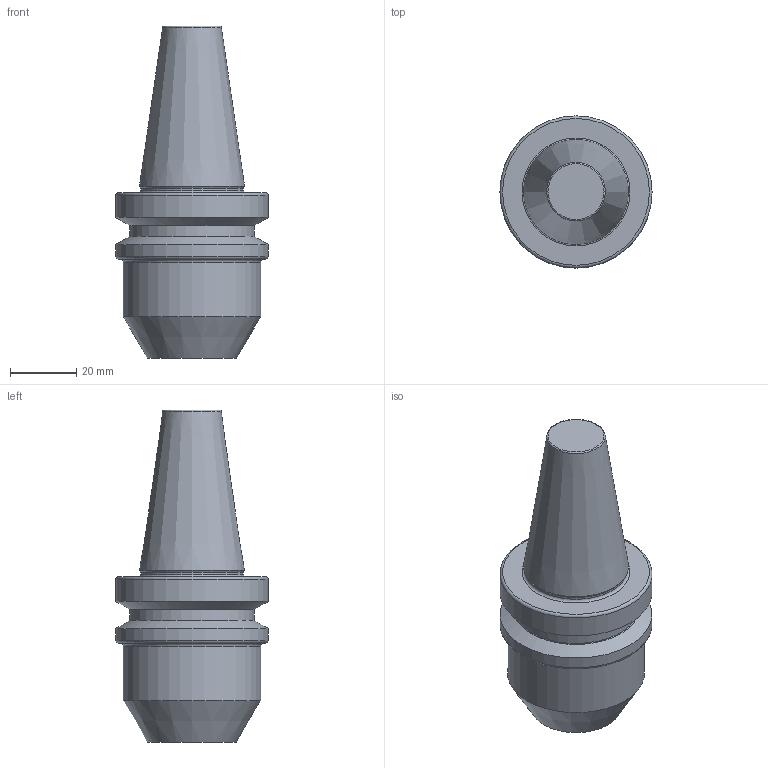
import cadquery as cq
import math

taper_length = 48.4
flange_gap = 2.0
flange_thickness = 20.1
nose_reach = 52.0
nose_cone_height = 12.5

gauge_radius = 31.75 / 2
taper_slope = 7 / 24 / 2
tip_fillet = 0.4

neck_radius = 15.5
neck_step_height = 0.6
neck_fillet = 0.8

flange_radius = 23.0
flange_fillet = 0.8
groove_floor_radius = 18.9
groove_width = 8.2
groove_center_depth = 11.6
groove_wall_angle = 30.0
groove_fillet = 0.3

body_radius = 20.75
body_fillet = 1.0
nose_cone_angle = 30.0

taper_tip_radius = gauge_radius - taper_slope * taper_length
flange_top = -flange_gap
flange_bottom = flange_top - flange_thickness
groove_center = flange_top - groove_center_depth
groove_rim_half = groove_width / 2
groove_wall_height = (flange_radius - groove_floor_radius) * math.tan(math.radians(groove_wall_angle))
groove_floor_half = groove_rim_half - groove_wall_height
nose_face = -nose_reach
cone_start = nose_face + nose_cone_height
nose_radius = body_radius - nose_cone_height * math.tan(math.radians(nose_cone_angle))


def sharp_holder():
    """Holder with sharp edges: a half section in (radius, z) revolved about the Z axis."""
    section = (
        cq.Workplane("XZ")
        .moveTo(0, taper_length)
        .lineTo(taper_tip_radius, taper_length)
        .lineTo(gauge_radius, 0)
        .lineTo(neck_radius, -neck_step_height)
        .lineTo(neck_radius, flange_top)
        .lineTo(flange_radius, flange_top)
        .lineTo(flange_radius, groove_center + groove_rim_half)
        .lineTo(groove_floor_radius, groove_center + groove_floor_half)
        .lineTo(groove_floor_radius, groove_center - groove_floor_half)
        .lineTo(flange_radius, groove_center - groove_rim_half)
        .lineTo(flange_radius, flange_bottom)
        .lineTo(body_radius, flange_bottom)
        .lineTo(body_radius, cone_start)
        .lineTo(nose_radius, nose_face)
        .lineTo(0, nose_face)
        .close()
    )
    return section.revolve(360, (0, 0, 0), (0, 1, 0))


def fillet_ring(solid, ring_radius, ring_z, fillet_radius):
    """Round the circular edge of the given radius that lies at height ring_z."""
    tolerance = 1e-4

    def is_ring(edge):
        same_height = abs(edge.Center().z - ring_z) < tolerance
        return same_height and abs(edge.radius() - ring_radius) < tolerance

    return solid.edges("%CIRCLE").filter(is_ring).fillet(fillet_radius)


ring_fillets = [
    (taper_tip_radius, taper_length, tip_fillet),
    (neck_radius, flange_top, neck_fillet),
    (flange_radius, flange_top, flange_fillet),
    (groove_floor_radius, groove_center + groove_floor_half, groove_fillet),
    (groove_floor_radius, groove_center - groove_floor_half, groove_fillet),
    (flange_radius, flange_bottom, flange_fillet),
    (body_radius, flange_bottom, body_fillet),
]

result = sharp_holder()
for ring_radius, ring_z, fillet_radius in ring_fillets:
    result = fillet_ring(result, ring_radius, ring_z, fillet_radius)